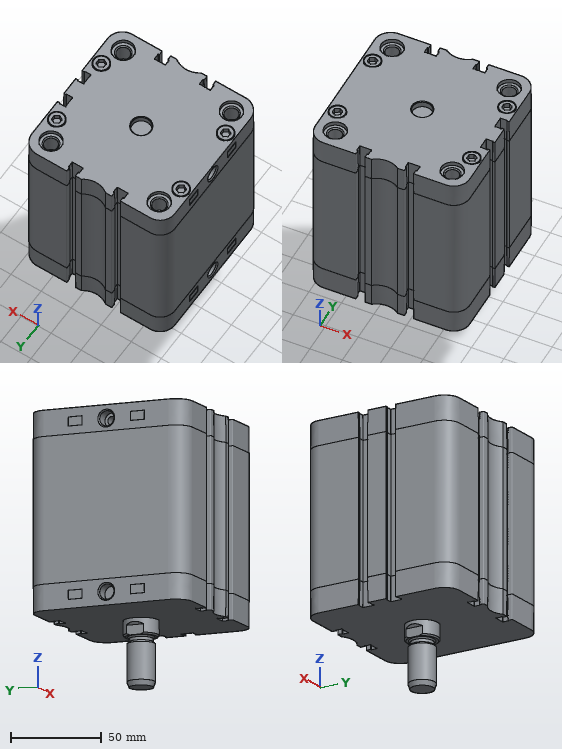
import cadquery as cq
import math

total_length = 151.0
body_width = 95.5
half_width = body_width / 2
corner_radius = 10.0
cap_height = 15.0
barrel_height = 83.5
cap_draft = 0.5

barrel_bottom = cap_height
barrel_top = barrel_bottom + barrel_height
body_top = barrel_top + cap_height

slice_height = 1.5
overcut = 1.5

side_slot_offset = 15.0
side_slot_mouth = 5.5
side_slot_width = 7.0
side_slot_lip = 3.2
side_slot_depth = 6.6
side_slot_rounding = 0.5

end_slot_offset = 9.0
end_slot_mouth = 6.0
end_slot_width = 7.0
end_slot_lip = 1.7
end_slot_depth = 5.6

groove_width = 16.0
groove_depth = 2.7
groove_radius = (groove_width**2 / 4 + groove_depth**2) / (2 * groove_depth)

mounting_pitch = 72.0
mounting_counterbore_diameter = 13.5
mounting_counterbore_depth = 2.5
mounting_hole_diameter = 8.3
mounting_chamfer_diameter = 9.8

screw_spacing_x = 82.7
screw_spacing_y = 44.4
screw_recess_diameter = 10.3
screw_head_top_diameter = 9.4
screw_ring_depth = 0.8
socket_across_flats = 5.0
socket_depth = 3.0

centring_diameter = 12.0
centring_depth = 4.0
centring_chamfer = 0.5

port_diameter = 8.6
port_mouth_diameter = 10.3
port_edge_distance = 7.7
front_port_height = port_edge_distance
rear_port_height = body_top - port_edge_distance
front_port_core_diameter = 80.0
rear_port_depth = 8.0
rear_passage_diameter = 5.0
rear_passage_core_diameter = 42.3

label_offset = 18.9
label_width = 8.3
label_height = 5.1
label_depth = 0.3

rod_diameter = 20.0
shoulder_chamfer = 0.9
shoulder_length = 9.2
flats_width = 16.9
flats_start = 3.6
neck_diameter = 13.5
neck_taper = 0.9
thread_start_chamfer = 1.2
thread_diameter = 16.0
thread_start = 12.0
thread_end_chamfer_length = 3.0
thread_tip_diameter = 13.7
rod_reach = total_length - body_top


def undercut_slot(mouth, width, lip, depth):
    """T-shaped slot profile that opens at y = 0 and runs towards -Y."""
    lip_half = mouth / 2
    wide_half = width / 2
    return (
        cq.Workplane("XY")
        .moveTo(-lip_half, overcut)
        .lineTo(lip_half, overcut)
        .lineTo(lip_half, -lip)
        .lineTo(wide_half, -lip)
        .lineTo(wide_half, -depth)
        .lineTo(-wide_half, -depth)
        .lineTo(-wide_half, -lip)
        .lineTo(-lip_half, -lip)
        .close()
        .extrude(slice_height)
    )


def body_outline():
    """Common outline of barrel and caps at their joint, taken from a thin slice of the body."""
    profile = (
        cq.Workplane("XY").rect(body_width, body_width).extrude(slice_height)
        .edges("|Z").fillet(corner_radius)
    )
    side_slot = undercut_slot(side_slot_mouth, side_slot_width, side_slot_lip, side_slot_depth)
    end_slot = undercut_slot(end_slot_mouth, end_slot_width, end_slot_lip, end_slot_depth)
    groove_centre = half_width - groove_depth + groove_radius
    groove = cq.Workplane("XY").center(0, groove_centre).circle(groove_radius).extrude(slice_height)
    for angle in (0, 180):
        for x in (-side_slot_offset, side_slot_offset):
            slot = side_slot.translate((x, half_width, 0))
            profile = profile.cut(slot.rotate((0, 0, 0), (0, 0, 1), angle))
        profile = profile.cut(groove.rotate((0, 0, 0), (0, 0, 1), angle))
    mouth_half = side_slot_mouth / 2
    mouth_xs = [
        side * side_slot_offset + edge * mouth_half
        for side in (-1, 1)
        for edge in (-1, 1)
    ]
    for y in (-half_width, half_width):
        for x in mouth_xs:
            mouth_corner = cq.selectors.NearestToPointSelector((x, y, slice_height / 2))
            profile = profile.edges("|Z").edges(mouth_corner).fillet(side_slot_rounding)
    for x in (-end_slot_offset, end_slot_offset):
        slot = end_slot.translate((x, half_width, 0))
        profile = profile.cut(slot.rotate((0, 0, 0), (0, 0, 1), -90))
    outline = profile.faces("<Z").wires().val()
    return cq.Workplane("XY").add(outline)


def cap_blank():
    """Cap standing on z = 0, drafted so that it narrows upwards."""
    return body_outline().toPending().extrude(cap_height, taper=cap_draft)


def bore_to_core(diameter, core_diameter, z):
    """Bore from the -X face that stops on a cylinder about the body axis."""
    core_radius = core_diameter / 2
    bore = cq.Workplane("YZ", origin=(-half_width, 0, z)).circle(diameter / 2).extrude(half_width)
    core = cq.Workplane("XY", origin=(0, 0, z)).circle(core_radius).extrude(diameter, both=True)
    return bore.cut(core)


def port_mouth(z):
    """Countersink at the mouth of an air port."""
    mouth_radius = port_mouth_diameter / 2
    bore_radius = port_diameter / 2
    return cq.Workplane(
        cq.Solid.makeCone(
            mouth_radius, bore_radius, mouth_radius - bore_radius,
            pnt=cq.Vector(-half_width, 0, z), dir=cq.Vector(1, 0, 0),
        )
    )


def label_recesses(z):
    """Rectangular recesses beside the port at height z."""
    return (
        cq.Workplane("YZ", origin=(-half_width, 0, z))
        .pushPoints([(-label_offset, 0), (label_offset, 0)])
        .rect(label_width, label_height)
        .extrude(label_depth)
    )


def make_barrel():
    return body_outline().toPending().extrude(barrel_height).translate((0, 0, barrel_bottom))


def make_front_cap():
    """Cap with the rod hole and an air port."""
    cap = cap_blank().mirror("XY").translate((0, 0, barrel_bottom))
    rod_hole = cq.Workplane("XY").circle(rod_diameter / 2).extrude(cap_height)
    port = bore_to_core(port_diameter, front_port_core_diameter, front_port_height)
    return (
        cap.cut(rod_hole)
        .cut(port)
        .cut(port_mouth(front_port_height))
        .cut(label_recesses(front_port_height))
    )


def cone_down(top_diameter, bottom_diameter, depth, z):
    """Cone on the Z axis that starts at height z and runs downwards."""
    return cq.Solid.makeCone(
        top_diameter / 2, bottom_diameter / 2, depth,
        pnt=cq.Vector(0, 0, z), dir=cq.Vector(0, 0, -1),
    )


def centring_hole():
    """Blind hole with a chamfered rim."""
    hole = cq.Workplane("XY", origin=(0, 0, body_top)).circle(centring_diameter / 2).extrude(-centring_depth)
    rim_diameter = centring_diameter + 2 * centring_chamfer
    return hole.union(cq.Workplane(cone_down(rim_diameter, centring_diameter, centring_chamfer, body_top)))


def mounting_hole():
    """Counterbored through hole with a chamfer at the counterbore floor."""
    floor = body_top - mounting_counterbore_depth
    chamfer = (mounting_chamfer_diameter - mounting_hole_diameter) / 2
    top = cq.Workplane("XY", origin=(0, 0, body_top))
    hole = top.circle(mounting_hole_diameter / 2).extrude(-cap_height)
    counterbore = top.circle(mounting_counterbore_diameter / 2).extrude(-mounting_counterbore_depth)
    countersink = cone_down(mounting_chamfer_diameter, mounting_hole_diameter, chamfer, floor)
    return hole.union(counterbore).union(cq.Workplane(countersink))


def screw_head_cuts():
    """Bevelled ring around a screw head together with its hexagon socket, corners along Y."""
    top = cq.Workplane("XY", origin=(0, 0, body_top))
    recess = top.circle(screw_recess_diameter / 2).extrude(-screw_ring_depth)
    head = cone_down(screw_head_top_diameter, screw_recess_diameter, screw_ring_depth, body_top)
    across_corners = socket_across_flats / math.cos(math.pi / 6)
    socket = top.polygon(6, across_corners).extrude(-socket_depth)
    socket = socket.rotate((0, 0, 0), (0, 0, 1), 90)
    return recess.cut(cq.Workplane(head)).union(socket)


def make_rear_cap():
    """Cap with the centring hole, mounting holes, screw heads and stepped air port."""
    cap = cap_blank().translate((0, 0, barrel_top))
    cap = cap.cut(centring_hole())
    for side_x in (-1, 1):
        for side_y in (-1, 1):
            hole_place = (side_x * mounting_pitch / 2, side_y * mounting_pitch / 2, 0)
            screw_place = (side_x * screw_spacing_x / 2, side_y * screw_spacing_y / 2, 0)
            cap = cap.cut(mounting_hole().translate(hole_place))
            cap = cap.cut(screw_head_cuts().translate(screw_place))
    port = (
        cq.Workplane("YZ", origin=(-half_width, 0, rear_port_height))
        .circle(port_diameter / 2).extrude(rear_port_depth)
    )
    passage = bore_to_core(rear_passage_diameter, rear_passage_core_diameter, rear_port_height)
    return (
        cap.cut(port)
        .cut(passage)
        .cut(port_mouth(rear_port_height))
        .cut(label_recesses(rear_port_height))
    )


def make_rod():
    """Turned rod with a flatted shoulder, a neck and a threaded end."""
    shoulder_radius = rod_diameter / 2
    neck_radius = neck_diameter / 2
    thread_radius = thread_diameter / 2
    tip_radius = thread_tip_diameter / 2
    outline = [
        (0, cap_height),
        (shoulder_radius, cap_height),
        (shoulder_radius, -shoulder_length + shoulder_chamfer),
        (shoulder_radius - shoulder_chamfer, -shoulder_length),
        (neck_radius + neck_taper, -shoulder_length),
        (neck_radius, -shoulder_length - neck_taper),
        (neck_radius, -thread_start),
        (thread_radius, -thread_start - thread_start_chamfer),
        (thread_radius, thread_end_chamfer_length - rod_reach),
        (tip_radius, -rod_reach),
        (0, -rod_reach),
    ]
    rod = cq.Workplane("XZ").polyline(outline).close().revolve(360, (0, 0), (0, 1))

    flat_half = flats_width / 2
    ramp = shoulder_radius - flat_half
    for side in (-1, 1):
        flat = (
            cq.Workplane("XZ")
            .polyline([
                (side * flat_half, -shoulder_length),
                (side * flat_half, -flats_start),
                (side * shoulder_radius, ramp - flats_start),
                (side * shoulder_radius, -shoulder_length),
            ])
            .close()
            .extrude(rod_diameter, both=True)
        )
        rod = rod.cut(flat)
    return rod


barrel = make_barrel()
front_cap = make_front_cap()
rear_cap = make_rear_cap()
rod = make_rod()

result = cq.Compound.makeCompound([barrel.val(), front_cap.val(), rear_cap.val(), rod.val()])